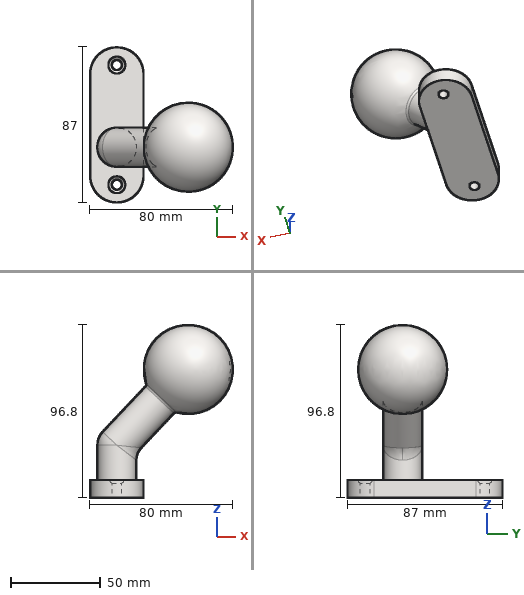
import cadquery as cq

plate_length = 87.0
plate_width = 30.0
plate_thickness = 10.0

screw_hole_diameter = 5.5
countersink_diameter = 9.5
countersink_angle = 90.0
screw_hole_end_distance = 10.0
screw_hole_spacing = plate_length - 2 * screw_hole_end_distance

bar_diameter = 22.0
bar_radius = bar_diameter / 2
handle_offset_y = -12.5
elbow_height = 29.4
elbow_inner_fillet = 10.0
ball_radius = 25.0
ball_offset_x = 40.0
ball_height = 71.8
neck_fillet = 1.5

post_foot = cq.Vector(0, handle_offset_y, plate_thickness)
elbow_center = cq.Vector(0, handle_offset_y, elbow_height)
ball_center = cq.Vector(ball_offset_x, handle_offset_y, ball_height)


def make_plate():
    return (
        cq.Workplane("XY")
        .slot2D(plate_length, plate_width, 90)
        .extrude(plate_thickness)
        .faces(">Z")
        .workplane()
        .rarray(1, screw_hole_spacing, 1, 2)
        .cskHole(screw_hole_diameter, countersink_diameter, countersink_angle)
    )


def round_bar(start, end):
    along = end - start
    return cq.Workplane(cq.Solid.makeCylinder(bar_radius, along.Length, start, along))


def make_bent_bar():
    post = round_bar(post_foot, elbow_center)
    tilted_bar = round_bar(elbow_center, ball_center)
    elbow = cq.Workplane("XY").sphere(bar_radius).translate(elbow_center)
    bent_bar = post.union(tilted_bar).union(elbow)
    return bent_bar.edges("%ELLIPSE").fillet(elbow_inner_fillet)


def make_handle():
    ball = cq.Workplane("XZ").sphere(ball_radius).translate(ball_center)
    handle = make_bent_bar().union(ball)
    bar_direction = (ball_center - elbow_center).normalized()
    neck_center = ball_center - bar_direction * (ball_radius**2 - bar_radius**2) ** 0.5
    neck_edge = cq.selectors.NearestToPointSelector(neck_center.toTuple())
    return handle.edges("%CIRCLE").edges(neck_edge).fillet(neck_fillet)


plate = make_plate()
handle = make_handle()

result = cq.Compound.makeCompound([plate.val(), handle.val()])